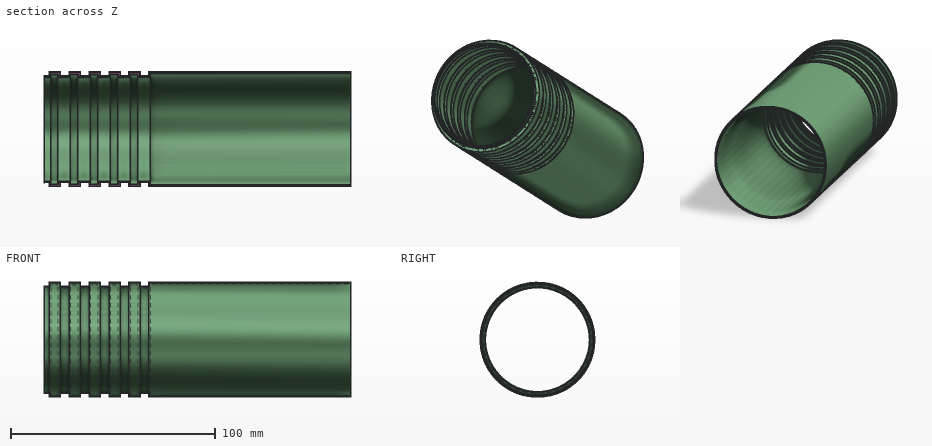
import cadquery as cq

length = 150.0
outer_diameter = 56.0
main_bore_diameter = 54.57

valley_outer_diameter = 52.25
valley_bore_diameter = 51.0
wall = (valley_outer_diameter - valley_bore_diameter) / 2

ring_count = 5
ring_pitch = 9.75
ring_width = 5.5
first_ring_start = 2.5
hollow_diameter = 53.67
hollow_width = ring_width - 3 * wall

body_start = first_ring_start + ring_count * ring_pitch
ring_starts = [first_ring_start + i * ring_pitch for i in range(ring_count)]


def cylinder(diameter, start, end):
    """Solid cylinder about the X axis between two X positions."""
    return (
        cq.Workplane("YZ", origin=(start, 0, 0))
        .circle(diameter / 2)
        .extrude(end - start)
    )


def make_outside():
    """Solid outer shape: valley core, raised rings and plain body."""
    shape = cylinder(valley_outer_diameter, 0, length)
    for start in ring_starts:
        shape = shape.union(cylinder(outer_diameter, start, start + ring_width))
    return shape.union(cylinder(outer_diameter, body_start, length))


def make_cavity():
    """Inner space: valley bore, hollows under the rings and main bore.

    The hollows and the main bore start one wall thickness behind the
    -X faces of the rings and of the plain body.
    """
    shape = cylinder(valley_bore_diameter, 0, length)
    for start in ring_starts:
        hollow_start = start + wall
        shape = shape.union(cylinder(hollow_diameter, hollow_start, hollow_start + hollow_width))
    return shape.union(cylinder(main_bore_diameter, body_start + wall, length))


result = make_outside().cut(make_cavity())